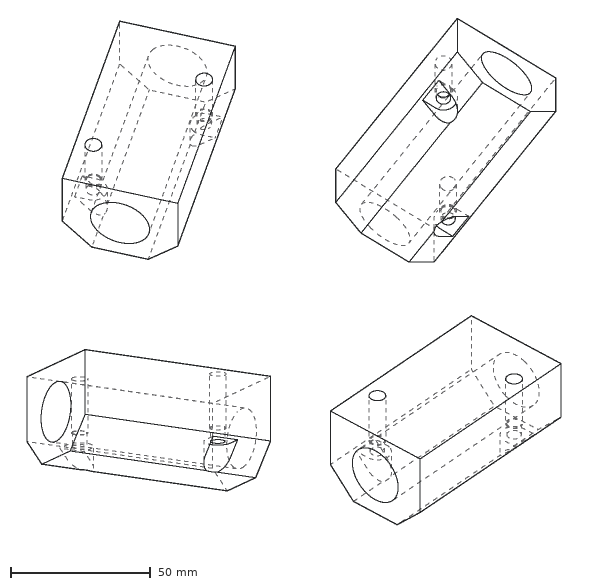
import cadquery as cq

width = 43.0
length = 76
height = 35.0
corner_chamfer = 11.0

bore_diameter = 22.0
bore_height = 17.0

screw_offset_x = 15.0
screw_end_distance = 18.0
screw_hole_diameter = 5.2
upper_hole_diameter = 6.0
upper_hole_depth = 20.0
seat_width = 10.0
seat_height = 10.0


def vertical_cylinder(center, diameter, bottom, top):
    return (
        cq.Workplane("XY", origin=(center[0], center[1], bottom))
        .circle(diameter / 2)
        .extrude(top - bottom)
    )


def screw_seat(side, center):
    """U-shaped seat around a screw hole, open towards the nearer side face."""
    round_end = vertical_cylinder(center, seat_width, 0, seat_height)
    open_length = width / 2 - screw_offset_x
    open_center_x = center[0] + side * open_length / 2
    open_end = (
        cq.Workplane("XY", origin=(open_center_x, center[1], 0))
        .box(open_length, seat_width, seat_height, centered=(True, True, False))
    )
    return round_end.union(open_end)


block = (
    cq.Workplane("XY")
    .box(width, length, height, centered=(True, True, False))
    .edges("|Y and <Z")
    .chamfer(corner_chamfer)
)

bore = (
    cq.Workplane("XZ", origin=(0, length / 2, bore_height))
    .circle(bore_diameter / 2)
    .extrude(length)
)
result = block.cut(bore)

screw_offset_y = length / 2 - screw_end_distance
for side in (-1, 1):
    center = (side * screw_offset_x, side * screw_offset_y)
    result = result.cut(vertical_cylinder(center, screw_hole_diameter, 0, height))
    result = result.cut(vertical_cylinder(center, upper_hole_diameter, height - upper_hole_depth, height))
    result = result.cut(screw_seat(side, center))